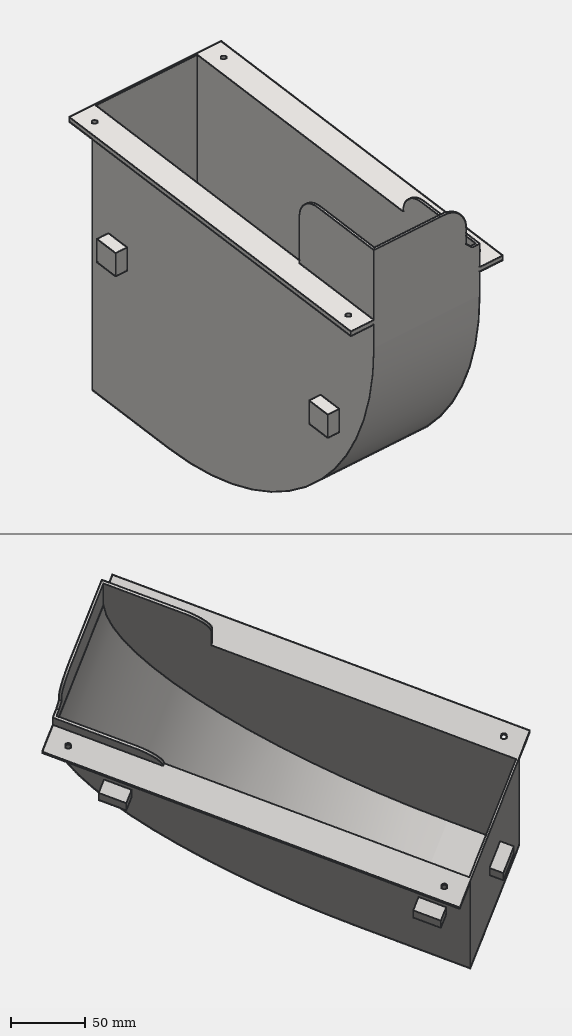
import cadquery as cq

pad_depth = 10.0
total_length = 312.0
body_length = total_length - pad_depth
body_width = 92.0
rim_height = 244.0
wall = 2.0
outer_radius = 220.0

left_wall = 1.5
sweep_radius = 249.0

total_height = 304.0
guard_length = 80.0
guard_radius = 20.0
low_guard_height = 20.0
end_wall_gap = 12.0
step_chamfer = 5.3

flange_span = 132.0
flange_thickness = 4.0
hole_diameter = 4.0
hole_end_distance = 15.0
hole_edge_distance = 10.0

pad_size = 20.0
pad_center_z = 135.0
pad_left_x = 27.5
pad_right_x = 255.0

half_width = body_width / 2
low_guard_top = rim_height + low_guard_height
guard_start = body_length - guard_length


def box_between(x0, x1, y0, y1, z0, z1):
    """Return a box from its two opposite corners."""
    return cq.Workplane("XY").box(x1 - x0, y1 - y0, z1 - z0, centered=False).translate((x0, y0, z0))


def quarter_round_profile(left, right, bottom, top, radius):
    """Return a centred slab with a large convex arc at its lower right corner."""
    bend = radius * 0.5**0.5
    center_x = right - radius
    center_z = bottom + radius
    outline = cq.Workplane("XZ").moveTo(left, bottom).lineTo(center_x, bottom)
    outline = outline.threePointArc((center_x + bend, center_z - bend), (right, center_z))
    return outline.lineTo(right, top).lineTo(left, top).close()


def make_body():
    """Solid box including the full-height guard block on its right end."""
    body = quarter_round_profile(0, body_length, 0, rim_height, outer_radius).extrude(half_width, both=True)
    guard = box_between(guard_start, body_length, -half_width, half_width, rim_height, total_height)
    return body.union(guard)


def make_hollow():
    """Inner space, open at the top, with a curved floor."""
    hollow = quarter_round_profile(left_wall, body_length - wall, wall, total_height, sweep_radius)
    return hollow.extrude(half_width - wall, both=True)


def make_guard_shape():
    """Region to which the guard above the rim is trimmed: front plate, end wall and low rear plate."""
    front = box_between(guard_start, body_length, -half_width, wall - half_width, rim_height, total_height)
    front = front.edges("|Y and <X and >Z").fillet(guard_radius)

    rear = box_between(guard_start, body_length, half_width - wall, half_width, rim_height, low_guard_top)
    corner = cq.Workplane("XZ").center(guard_start + guard_radius, rim_height).circle(guard_radius)
    corner = corner.extrude(half_width, both=True)
    beyond_corner = box_between(
        guard_start + guard_radius, body_length, -half_width, half_width, rim_height, low_guard_top
    )
    rear = rear.intersect(corner.union(beyond_corner))

    step_y = half_width - end_wall_gap
    end_wall = (
        cq.Workplane("YZ", origin=(body_length - wall, 0, 0))
        .moveTo(-half_width, rim_height)
        .lineTo(half_width, rim_height)
        .lineTo(half_width, low_guard_top)
        .lineTo(step_y + step_chamfer, low_guard_top)
        .lineTo(step_y, low_guard_top + step_chamfer)
        .lineTo(step_y, total_height - guard_radius)
        .radiusArc((step_y - guard_radius, total_height), -guard_radius)
        .lineTo(-half_width, total_height)
        .close()
        .extrude(wall)
    )
    return front.union(end_wall).union(rear)


def make_flanges():
    """Pair of drilled flanges, flush with the rim."""
    flanges = cq.Workplane("XY").workplane(offset=rim_height - flange_thickness)
    flanges = flanges.center(body_length / 2, 0).rect(body_length, flange_span).extrude(flange_thickness)
    holes = (
        cq.Workplane("XY")
        .center(body_length / 2, 0)
        .rect(body_length - 2 * hole_end_distance, flange_span - 2 * hole_edge_distance, forConstruction=True)
        .vertices()
        .circle(hole_diameter / 2)
        .extrude(rim_height)
    )
    return flanges.cut(holes)


def make_pads():
    """One pad on the left face and two on each long side."""
    half_pad = pad_size / 2
    z0 = pad_center_z - half_pad
    z1 = pad_center_z + half_pad
    pads = box_between(-pad_depth, left_wall, -half_pad, half_pad, z0, z1)
    reach = half_width + pad_depth
    for x in (pad_left_x, pad_right_x):
        pads = pads.union(box_between(x - half_pad, x + half_pad, -reach, reach, z0, z1))
    return pads


below_rim = box_between(0, body_length, -half_width, half_width, 0, rim_height)
outside = make_body().intersect(below_rim.union(make_guard_shape()))
result = outside.union(make_flanges()).union(make_pads()).cut(make_hollow())